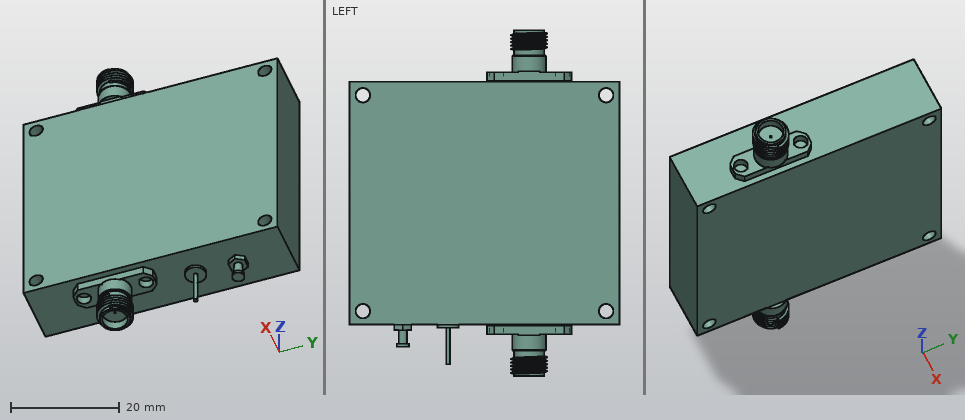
import cadquery as cq
import math

housing_x = 12.0
housing_y = 50.0
housing_z = 44.95
housing_top = housing_z / 2

mount_hole_diameter = 2.6
mount_hole_inset = 2.5

overall_z = 64.05
mounting_gap = 0.1
connector_height = (overall_z - housing_z) / 2 - mounting_gap
connector_x = 2.45
connector_y = -8.25
flange_x = 4.85
flange_y = 15.75
flange_thickness = 1.65
flange_chamfer_x = 1.3
flange_chamfer_y = 1.4
flange_hole_diameter = 2.6
flange_hole_spacing = 12.25
collar_diameter = 6.3
collar_chamfer = 0.2
collar_flat_top = 1.85
collar_top = 4.75
barrel_diameter = 5.65
bore_diameter = 4.75
bore_depth = 1.8
contact_hole_diameter = 0.3
contact_hole_depth = 0.65

thread_pitch = 0.65
thread_diameter = 6.7
thread_start = 5.75
thread_turns = 5
thread_root_width = 0.6
thread_embed = 0.05

turret_y = 15.1
turret_hex_across_flats = 3.2
turret_hex_height = 1.0
turret_post_diameter = 1.6
turret_head_diameter = 2.3
turret_head_height = 0.6
turret_length = 4.1

pin_y = 6.7
pin_flange_diameter = 4.0
pin_flange_height = 0.6
pin_diameter = 0.8
pin_length = 7.35


def make_housing():
    block = cq.Workplane("XY").box(housing_x, housing_y, housing_z)
    return (
        block.faces("<X").workplane(centerOption="CenterOfBoundBox")
        .rect(housing_y - 2 * mount_hole_inset, housing_z - 2 * mount_hole_inset, forConstruction=True)
        .vertices()
        .hole(mount_hole_diameter)
    )


def make_flange():
    """Flange plate with cut corners, rounded ends and two screw holes, standing on Z = 0."""
    side_x = flange_x / 2
    end_radius = flange_y / 2
    shoulder_x = side_x - flange_chamfer_x
    shoulder_y = end_radius - flange_chamfer_y
    end_corner_y = math.sqrt(end_radius**2 - shoulder_x**2)
    plate = (
        cq.Workplane("XY").moveTo(side_x, -shoulder_y)
        .lineTo(side_x, shoulder_y)
        .lineTo(shoulder_x, end_corner_y)
        .threePointArc((0, end_radius), (-shoulder_x, end_corner_y))
        .lineTo(-side_x, shoulder_y)
        .lineTo(-side_x, -shoulder_y)
        .lineTo(-shoulder_x, -end_corner_y)
        .threePointArc((0, -end_radius), (shoulder_x, -end_corner_y))
        .close()
        .extrude(flange_thickness)
    )
    hole_y = flange_hole_spacing / 2
    return (
        plate.faces(">Z").workplane(origin=(0, 0, 0))
        .pushPoints([(0, -hole_y), (0, hole_y)])
        .hole(flange_hole_diameter)
    )


def make_collar():
    """Round collar, cut down to the flange width just above the flange."""
    collar = (
        cq.Workplane("XY").circle(collar_diameter / 2).extrude(collar_top)
        .faces(">Z").chamfer(collar_chamfer)
    )
    narrow_base = cq.Workplane("XY").box(
        flange_x, flange_y, collar_flat_top, centered=(True, True, False)
    )
    full_width = (
        cq.Workplane("XY", origin=(0, 0, collar_flat_top))
        .circle(collar_diameter / 2)
        .extrude(collar_top - collar_flat_top)
    )
    return collar.intersect(narrow_base.union(full_width))


def make_thread():
    """Pointed helical ridge, sunk a little into the barrel and trimmed level at both ends."""
    root_radius = barrel_diameter / 2 - thread_embed
    crest_radius = thread_diameter / 2
    root_half = thread_root_width / 2
    thread_length = thread_pitch * thread_turns
    profile = [
        (root_radius, -root_half),
        (crest_radius, 0),
        (root_radius, root_half),
    ]
    helix = cq.Wire.makeHelix(thread_pitch, thread_length, root_radius)
    ridge = cq.Workplane("XZ").polyline(profile).close().sweep(cq.Workplane(helix), isFrenet=True)
    trim = cq.Workplane("XY").circle(thread_diameter).extrude(thread_length)
    return ridge.intersect(trim).translate((0, 0, thread_start))


def make_connector():
    """Threaded coaxial connector standing on Z = 0 along the Z axis."""
    barrel = (
        cq.Workplane("XY", origin=(0, 0, collar_top))
        .circle(barrel_diameter / 2)
        .extrude(connector_height - collar_top)
    )
    body = make_flange().union(make_collar()).union(barrel).union(make_thread())
    return (
        body.faces(">Z").workplane(origin=(0, 0, 0))
        .hole(bore_diameter, bore_depth)
        .faces(">Z").workplane(origin=(0, 0, 0))
        .hole(contact_hole_diameter, bore_depth + contact_hole_depth)
    )


def make_turret():
    """Hexagon base with corners toward -X and +X, then a post ending in a wider head."""
    hex_across_corners = turret_hex_across_flats / math.cos(math.pi / 6)
    bottom_face = cq.Workplane("XY", origin=(0, turret_y, -housing_top))
    base = bottom_face.polygon(6, hex_across_corners).extrude(-turret_hex_height)
    post = bottom_face.circle(turret_post_diameter / 2).extrude(-turret_length)
    head = (
        bottom_face.workplane(offset=-turret_length)
        .circle(turret_head_diameter / 2)
        .extrude(turret_head_height)
    )
    return base.union(post).union(head)


def make_pin():
    bottom_face = cq.Workplane("XY", origin=(0, pin_y, -housing_top))
    flange = bottom_face.circle(pin_flange_diameter / 2).extrude(-pin_flange_height)
    shaft = bottom_face.circle(pin_diameter / 2).extrude(-pin_length)
    return flange.union(shaft)


housing = make_housing()
turret = make_turret()
pin = make_pin()

connectors = []
connector_base_z = housing_top + mounting_gap
for turn, base_z in ((0, connector_base_z), (180, -connector_base_z)):
    connector = make_connector().rotate((0, 0, 0), (1, 0, 0), turn)
    connectors.append(connector.translate((connector_x, connector_y, base_z)))

result = cq.Compound.makeCompound(
    [housing.val(), *[connector.val() for connector in connectors], turret.val(), pin.val()]
)